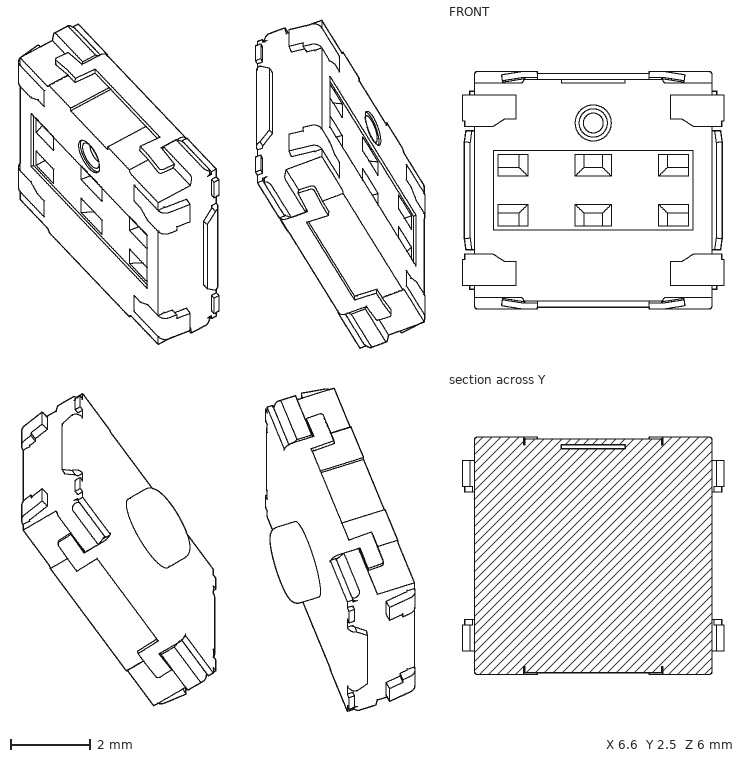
import cadquery as cq
import math

LEAD_SPAN = 6.6
BODY_SIZE = 6.0
TOTAL_HEIGHT = 2.5
COVER_TOP = 1.8
SHEET = 0.15

HALF_BODY = BODY_SIZE / 2
HOUSING_TOP = COVER_TOP - SHEET

CORE_HALF = 2.7
BAND_HALF_WIDTH = 1.75
WALL_HALF_WIDTH = 1.72
WALL_OUTER = 2.95
BAND_HALF = WALL_OUTER - SHEET
WALL_BEND = 0.245
STEP_RADIUS = BAND_HALF - CORE_HALF

BLOCK_FOOT = 0.995
BLOCK_LIP = 1.05
BLOCK_CHAMFER = 0.205
BLOCK_FILLET = 0.09
BLOCK_BACK_FILLET = 0.12

NOTCH_WIDTH = 1.605

PANEL_LENGTH = 5.03
PANEL_WIDTH = 2.005
PANEL_DEPTH = 0.07
WINDOW_DEPTH = 0.33
WINDOW_SLOPE = 0.22
WINDOW_NEAR_Z = 0.355
WINDOW_FAR_Z = 0.9
MIDDLE_WINDOW_HALF = 0.455
SIDE_WINDOW_NEAR_X = 1.65
SIDE_WINDOW_FAR_X = 2.4

DIMPLE_Z = 1.695
DIMPLE_RIM_RADIUS = 0.455
DIMPLE_RIM_DEPTH = 0.05
DIMPLE_RADIUS = 0.355
DIMPLE_FLOOR_RADIUS = 0.25
DIMPLE_DEPTH = 0.21

WALL_EDGE = 1.19
CLIP_ROOT = 1.12
CLIP_END = 0.56
CLIP_INNER_X = 1.405
CLIP_TILT = 5.0
HOOK_START = 0.99
HOOK_ROOT_X = 1.76
HOOK_LENGTH = 0.555
HOOK_TILT = 9.0
HOOK_FILLET = 0.08

FLAP_WIDTH = 3.0
FLAP_BEND = 0.22
FLAP_TILT = 8.0
FLAP_LEG = 0.27
FLAP_CHAMFER = 0.3

TAB_NEAR_Z = 1.91
TAB_FAR_Z = 2.5
TAB_REACH = 3.115

BUTTON_DIAMETER = 2.0
BUTTON_FILLET = 0.2

LEAD_SHEET = 0.2
LEAD_BEND = 0.22
LEAD_TILT = 8.2
LEAD_NEAR_Z = 1.605
LEAD_FAR_Z = 2.4
LEAD_STEP_Y = 0.4
LEAD_STEP = 0.14
PAD_INNER_X = 1.955
PAD_NECK_Z = 1.795
PAD_SLOPE_START_X = 2.535
PAD_SLOPE_END_X = 2.24


def box(x_range, y_range, z_range):
    """Box between two limits along each axis."""
    lows, highs = zip(x_range, y_range, z_range)
    size = [high - low for low, high in zip(lows, highs)]
    return cq.Workplane("XY").box(*size, centered=False).translate(lows)


def mirrored(shape, plane):
    """The shape together with its mirror image."""
    return shape.union(shape.mirror(plane))


def bent_strip(plane, width, bend, thickness, tilt, leg):
    """Sheet bent out of its flat, leaning outwards by tilt, extruded by width.

    On the plane, x runs outwards from the start of the bend and y runs from the
    outer flat face towards the inner one.
    """
    inner = bend - thickness
    lean = math.radians(tilt)
    middle = (math.pi / 2 - lean) / 2

    def on_arc(radius, angle):
        return radius * math.sin(angle), bend - radius * math.cos(angle)

    def along_leg(point):
        return point[0] + leg * math.sin(lean), point[1] + leg * math.cos(lean)

    outer_end = on_arc(bend, 2 * middle)
    inner_end = on_arc(inner, 2 * middle)
    return (
        cq.Workplane(plane)
        .moveTo(0, 0)
        .threePointArc(on_arc(bend, middle), outer_end)
        .lineTo(*along_leg(outer_end))
        .lineTo(*along_leg(inner_end))
        .lineTo(*inner_end)
        .threePointArc(on_arc(inner, middle), (0, thickness))
        .close()
        .extrude(width)
    )


def housing_core():
    """Plain core with the raised band that carries the cover walls."""
    depth = (0, HOUSING_TOP)
    core = box((-HALF_BODY, HALF_BODY), depth, (-CORE_HALF, CORE_HALF))
    band_x = (-BAND_HALF_WIDTH, BAND_HALF_WIDTH)
    band = box(band_x, depth, (-BAND_HALF, BAND_HALF)).edges("|X and >Y").fillet(WALL_BEND - SHEET)

    root_x = -BAND_HALF_WIDTH - STEP_RADIUS
    root = box((root_x, -BAND_HALF_WIDTH), (0, BLOCK_LIP), (CORE_HALF, BAND_HALF))
    rounding_plane = cq.Workplane("XZ", origin=(root_x, 0, BAND_HALF))
    rounding = rounding_plane.circle(STEP_RADIUS).extrude(-BLOCK_LIP)
    roots = mirrored(mirrored(root.cut(rounding), "YZ"), "XY")
    return core.union(band).union(roots)


def corner_blocks():
    """Raised blocks at the four corners, rounded at the side and chamfered under the plate."""
    block = (
        cq.Workplane("YZ", origin=(-HALF_BODY, 0, 0))
        .moveTo(BLOCK_FOOT, CORE_HALF)
        .lineTo(BLOCK_LIP, HALF_BODY)
        .lineTo(HOUSING_TOP, HALF_BODY)
        .lineTo(HOUSING_TOP, CORE_HALF)
        .close()
        .extrude(HALF_BODY - BAND_HALF_WIDTH)
    )
    block = block.edges("<X and >Z").fillet(BLOCK_FILLET)
    block = block.edges("<X and >Y").fillet(BLOCK_BACK_FILLET)
    chamfer = (
        cq.Workplane("YZ")
        .moveTo(HOUSING_TOP, HALF_BODY)
        .lineTo(HOUSING_TOP - BLOCK_CHAMFER, HALF_BODY)
        .lineTo(HOUSING_TOP, HALF_BODY - BLOCK_CHAMFER)
        .close()
        .extrude(-HALF_BODY)
    )
    return mirrored(mirrored(block.cut(chamfer), "YZ"), "XY")


def window(mouth_x, floor_x):
    """Tapered window, with its outer Z wall upright and its inner one sloping."""
    floor_near_z = WINDOW_NEAR_Z + WINDOW_SLOPE

    def rectangle(plane, x_range, near_z):
        center = (sum(x_range) / 2, (near_z + WINDOW_FAR_Z) / 2)
        return plane.center(*center).rect(x_range[1] - x_range[0], WINDOW_FAR_Z - near_z)

    mouth = rectangle(cq.Workplane("XZ", origin=(0, PANEL_DEPTH, 0)), mouth_x, WINDOW_NEAR_Z)
    floor_plane = cq.Workplane("XZ", origin=(0, PANEL_DEPTH + WINDOW_DEPTH, 0))
    floor = rectangle(floor_plane, floor_x, floor_near_z)
    return cq.Workplane(cq.Solid.makeLoft([mouth.wires().val(), floor.wires().val()], True))


def windows():
    """Two mirrored rows of three windows."""
    middle_floor = MIDDLE_WINDOW_HALF - WINDOW_SLOPE
    middle = window((-MIDDLE_WINDOW_HALF, MIDDLE_WINDOW_HALF), (-middle_floor, middle_floor))
    side = window(
        (SIDE_WINDOW_NEAR_X, SIDE_WINDOW_FAR_X),
        (SIDE_WINDOW_NEAR_X + WINDOW_SLOPE, SIDE_WINDOW_FAR_X),
    )
    row = middle.union(side).union(side.mirror("YZ"))
    return mirrored(row, "XY")


def dimple():
    """Conical dimple with a shallow rim, revolved about its axis."""
    return (
        cq.Workplane("XY")
        .moveTo(0, 0)
        .lineTo(DIMPLE_RIM_RADIUS, 0)
        .lineTo(DIMPLE_RIM_RADIUS, DIMPLE_RIM_DEPTH)
        .lineTo(DIMPLE_RADIUS, DIMPLE_RIM_DEPTH)
        .lineTo(DIMPLE_FLOOR_RADIUS, DIMPLE_DEPTH)
        .lineTo(0, DIMPLE_DEPTH)
        .close()
        .revolve(360, (0, 0), (0, 1))
        .translate((0, 0, DIMPLE_Z))
    )


def make_housing():
    notch = box((-NOTCH_WIDTH / 2, NOTCH_WIDTH / 2), (0, HOUSING_TOP), (CORE_HALF, BAND_HALF))
    half_length = PANEL_LENGTH / 2
    half_width = PANEL_WIDTH / 2
    panel = box((-half_length, half_length), (0, PANEL_DEPTH), (-half_width, half_width))
    return housing_core().union(corner_blocks()).cut(notch).cut(panel).cut(windows()).cut(dimple())


def cover_plate():
    """Flat plate, cut back in Z where the walls bend away from it."""
    depth = (HOUSING_TOP, COVER_TOP)
    bend_start = WALL_OUTER - WALL_BEND
    plate = box((-HALF_BODY, HALF_BODY), depth, (-BAND_HALF, BAND_HALF))
    wall_gap = box((-WALL_HALF_WIDTH, WALL_HALF_WIDTH), depth, (bend_start, BAND_HALF))
    return plate.cut(mirrored(wall_gap, "XY"))


def cover_wall():
    """Upper wall, bent down over the housing band."""
    plane = cq.Plane((-WALL_HALF_WIDTH, COVER_TOP, WALL_OUTER - WALL_BEND), (0, 0, 1), (1, 0, 0))
    leg = COVER_TOP - WALL_BEND - WALL_EDGE
    return bent_strip(plane, 2 * WALL_HALF_WIDTH, WALL_BEND, SHEET, 0, leg)


def clip():
    """Upper left clip: a leg leaning outwards with a sideways hook leaning back in."""
    thickness = (BAND_HALF, WALL_OUTER)
    root = box((-WALL_HALF_WIDTH, -CLIP_INNER_X), (CLIP_ROOT, WALL_EDGE), thickness)
    leg = box((-WALL_HALF_WIDTH, -CLIP_INNER_X), (CLIP_END, CLIP_ROOT), thickness)
    hook_y = (CLIP_END, HOOK_START)
    hook_root = box((-HOOK_ROOT_X, -WALL_HALF_WIDTH), hook_y, thickness)
    hook = box((-HOOK_ROOT_X - HOOK_LENGTH, -HOOK_ROOT_X), hook_y, thickness)
    hook = hook.edges("|Z and <X and <Y").fillet(HOOK_FILLET)
    hook = hook.rotate((-HOOK_ROOT_X, 0, WALL_OUTER), (-HOOK_ROOT_X, 1, WALL_OUTER), -HOOK_TILT)
    bent = leg.union(hook_root).union(hook)
    bent = bent.rotate((0, CLIP_ROOT, BAND_HALF), (1, CLIP_ROOT, BAND_HALF), -CLIP_TILT)
    return root.union(bent)


def side_flap():
    """Left flap, bent clear of the housing, with its free corners cut off at 45 degrees."""
    half_width = FLAP_WIDTH / 2
    plane = cq.Plane((-HALF_BODY, COVER_TOP, -half_width), (-1, 0, 0), (0, 0, 1))
    flap = bent_strip(plane, FLAP_WIDTH, FLAP_BEND, SHEET, FLAP_TILT, FLAP_LEG)
    end_y = flap.val().BoundingBox().ymin
    corner = (
        cq.Workplane("YZ")
        .moveTo(end_y, half_width)
        .lineTo(end_y + FLAP_CHAMFER, half_width)
        .lineTo(end_y, half_width - FLAP_CHAMFER)
        .close()
        .extrude(-LEAD_SPAN)
    )
    return flap.cut(mirrored(corner, "XY"))


def make_cover():
    walls = mirrored(cover_wall().union(mirrored(clip(), "YZ")), "XY")
    tab = box((-TAB_REACH, -HALF_BODY), (HOUSING_TOP, COVER_TOP), (TAB_NEAR_Z, TAB_FAR_Z))
    left_side = side_flap().union(mirrored(tab, "XY"))
    return cover_plate().union(walls).union(mirrored(left_side, "YZ"))


def make_button():
    plane = cq.Workplane("XZ", origin=(0, COVER_TOP, 0))
    button = plane.circle(BUTTON_DIAMETER / 2).extrude(COVER_TOP - TOTAL_HEIGHT)
    return button.faces(">Y").edges().fillet(BUTTON_FILLET)


def lead_pad():
    """Left pad, flush with the mounting face and narrowed towards the middle."""
    return (
        cq.Workplane("XZ")
        .moveTo(-HALF_BODY, LEAD_FAR_Z)
        .lineTo(-PAD_INNER_X, LEAD_FAR_Z)
        .lineTo(-PAD_INNER_X, PAD_NECK_Z)
        .lineTo(-PAD_SLOPE_END_X, PAD_NECK_Z)
        .lineTo(-PAD_SLOPE_START_X, LEAD_NEAR_Z)
        .lineTo(-HALF_BODY, LEAD_NEAR_Z)
        .close()
        .extrude(-LEAD_SHEET)
    )


def lead_foot():
    """Left foot, bent up beside the housing and stepped narrower above LEAD_STEP_Y."""
    lean = math.radians(LEAD_TILT)
    reach = LEAD_SPAN / 2 - HALF_BODY
    leg = (reach - LEAD_BEND * math.cos(lean)) / math.sin(lean)
    plane = cq.Plane((-HALF_BODY, 0, LEAD_FAR_Z), (-1, 0, 0), (0, 0, -1))
    foot = bent_strip(plane, LEAD_FAR_Z - LEAD_NEAR_Z, LEAD_BEND, LEAD_SHEET, LEAD_TILT, leg)
    step = box(
        (-LEAD_SPAN / 2, -HALF_BODY),
        (LEAD_STEP_Y, HOUSING_TOP),
        (LEAD_NEAR_Z, LEAD_NEAR_Z + LEAD_STEP),
    )
    return foot.cut(step)


def make_leads():
    """The four corner leads, mirrored from the upper left one."""
    upper_left = lead_pad().union(lead_foot())
    upper_right = upper_left.mirror("YZ")
    return [lead for upper in (upper_left, upper_right) for lead in (upper, upper.mirror("XY"))]


leads = make_leads()

body = make_housing().union(make_cover()).union(make_button())
for lead in leads:
    body = body.cut(lead)

result = cq.Compound.makeCompound(body.solids().vals() + [lead.solids().val() for lead in leads])